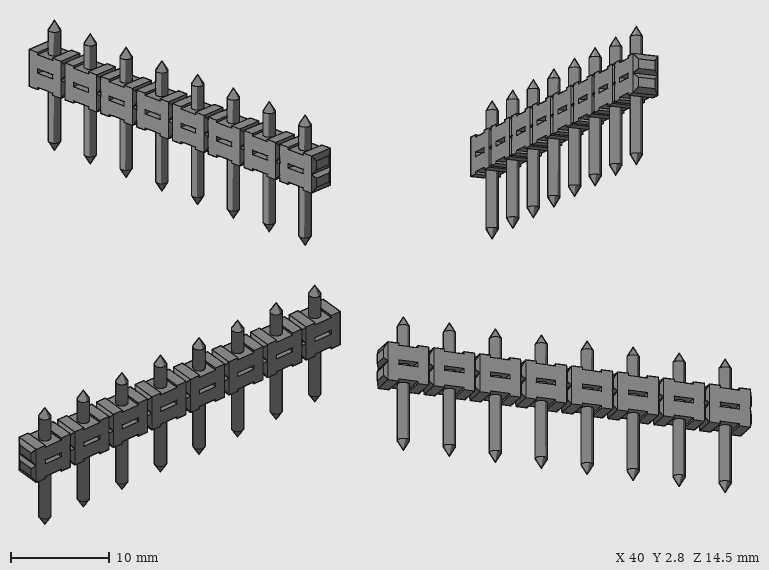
import cadquery as cq

pin_count = 8
row_length = 40.0
pitch = row_length / pin_count
row_depth = 2.8

housing_height = 4.1
end_bump_height = 0.3
housing_width = pitch - 2 * end_bump_height
half_height = housing_height / 2

bump_tip_depth = 1.85
bump_tip_height = 1.0
bump_tip_offset = 0.95

channel_width = 2.1
channel_depth = 0.25
window_height = 0.5

pin_diameter = 1.3
pin_top = 5.5
pin_length = 14.5
tip_length = 1.1
pin_bottom = pin_top - pin_length


def end_bump(side, level):
    """Tapered bump on the +X or -X end of a housing, on its upper or lower half."""
    base_plane = cq.Plane(
        origin=(side * housing_width / 2, 0, level * half_height / 2),
        xDir=(0, 1, 0),
        normal=(side, 0, 0),
    )
    tip_shift = side * level * (bump_tip_offset - half_height / 2)
    return (
        cq.Workplane(base_plane)
        .rect(row_depth, half_height)
        .workplane(offset=end_bump_height)
        .center(0, tip_shift)
        .rect(bump_tip_depth, bump_tip_height)
        .loft(ruled=True)
    )


def housing():
    """Block with four end bumps, a channel above and below, and a window through Y."""
    body = cq.Workplane("XY").box(housing_width, row_depth, housing_height)
    for side in (-1, 1):
        for level in (-1, 1):
            body = body.union(end_bump(side, level))
    for level in (-1, 1):
        channel = cq.Workplane("XY").box(channel_width, row_depth, 2 * channel_depth)
        body = body.cut(channel.translate((0, 0, level * half_height)))
    window = cq.Workplane("XY").box(channel_width, row_depth, window_height)
    return body.cut(window)


def pin():
    """Round pin with a conical point at each end."""
    radius = pin_diameter / 2
    return (
        cq.Workplane("XZ")
        .moveTo(0, pin_bottom)
        .lineTo(radius, pin_bottom + tip_length)
        .lineTo(radius, pin_top - tip_length)
        .lineTo(0, pin_top)
        .close()
        .revolve(360, (0, 0, 0), (0, 1, 0))
    )


loaded_housing = housing().union(pin())
result = cq.Workplane("XY")
for index in range(pin_count):
    x = (index - (pin_count - 1) / 2) * pitch
    result = result.union(loaded_housing.translate((x, 0, 0)))